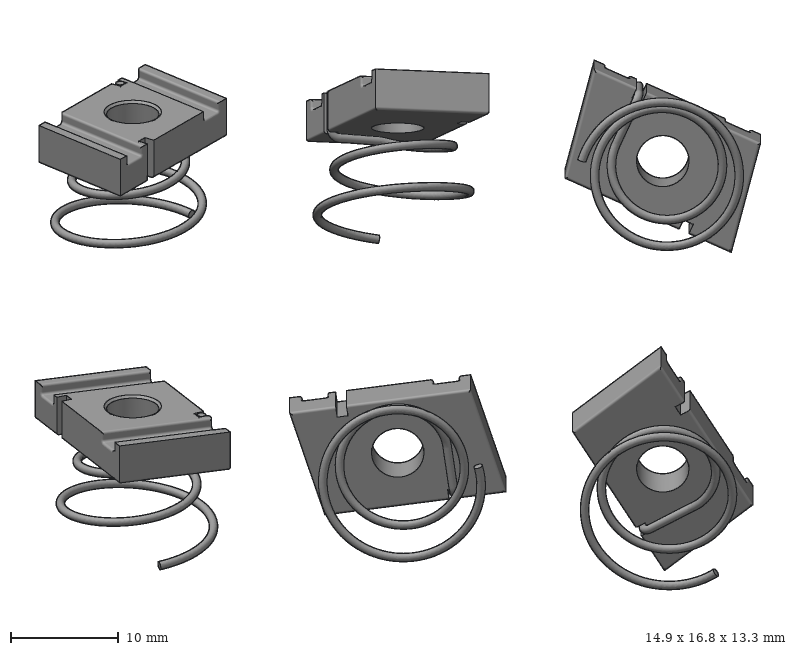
import cadquery as cq
import math

nut_length = 16.76
nut_width = 10.8
nut_height = 3.85
skew_angle = 10.0
bottom_edge_radius = 0.25

bore_radius = 2.43
bore_chamfer = 0.23

groove_center_y = 6.07
groove_width = 2.35
groove_depth = 1.02
groove_floor_radius = 0.25
groove_rim_radius = 0.23

notch_size = 1.0
notch_offset = 4.6
leg_depth = 0.54

wire_radius = 0.4
bend_radius = 0.84
coil_start_radius = 4.66
coil_growth = 1.56
coil_end_z = -12.92
coil_start_angle = 90.0 + skew_angle
coil_end_angle = 91.0
full_turns = 2
points_per_turn = 24

skew = math.radians(skew_angle)
side_distance = nut_width / 2 * math.cos(skew)
coil_start_z = -nut_height - wire_radius
leg_u = leg_depth - side_distance


def skewed_point(u, v, z):
    """Point from coordinates square to (u) and along (v) the skewed sides."""
    x = u * math.cos(skew) - v * math.sin(skew)
    y = u * math.sin(skew) + v * math.cos(skew)
    return cq.Vector(x, y, z)


def sheared_plate():
    half_length = nut_length / 2
    half_width = nut_width / 2
    shift = half_length * math.tan(skew)
    plate = (
        cq.Workplane("XY", origin=(0, 0, -nut_height))
        .polyline([
            (-half_width + shift, -half_length),
            (half_width + shift, -half_length),
            (half_width - shift, half_length),
            (-half_width - shift, half_length),
        ])
        .close()
        .extrude(nut_height)
    )
    return plate.faces("<Z").edges().fillet(bottom_edge_radius)


def groove_tool(center_y):
    tool = cq.Workplane("XY").box(2 * nut_width, groove_width, 2 * groove_depth)
    tool = tool.edges("|X and <Z").fillet(groove_floor_radius)
    return tool.translate((0, center_y, 0))


def round_groove_rim(nut, center_y):
    """Round the whole rim: both top edges and the profile on each skewed side."""
    margin = 0.03
    selector = cq.selectors.BoxSelector(
        (-nut_width, center_y - groove_width / 2 - margin, -groove_depth - margin),
        (nut_width, center_y + groove_width / 2 + margin, margin),
    )
    side_rims = nut.faces("<(1,{0},0) or >(1,{0},0)".format(math.tan(skew))).edges(selector)
    top_rims = nut.faces(">Z").edges(selector)
    return nut.newObject(side_rims.vals() + top_rims.vals()).fillet(groove_rim_radius)


def notch_tool(side):
    """Notch on the -X side (side = -1) or, turned half way round, on the +X side (+1)."""
    center = skewed_point(side * side_distance, -side * notch_offset, -nut_height / 2)
    tool = cq.Workplane("XY").box(2 * notch_size, notch_size, 2 * nut_height)
    return tool.rotate((0, 0, 0), (0, 0, 1), skew_angle).translate(center)


def bore_tool():
    bore = cq.Workplane("XY").circle(bore_radius).extrude(-nut_height)
    mouth_radius = bore_radius + bore_chamfer
    mouth = cq.Solid.makeCone(
        mouth_radius, bore_radius, bore_chamfer, cq.Vector(0, 0, 0), cq.Vector(0, 0, -1)
    )
    return bore.union(cq.Workplane(mouth))


def make_nut():
    nut = sheared_plate()
    for center_y in (-groove_center_y, groove_center_y):
        nut = nut.cut(groove_tool(center_y))
        nut = round_groove_rim(nut, center_y)
    for side in (-1, 1):
        nut = nut.cut(notch_tool(side))
    return nut.cut(bore_tool())


def coil_edge():
    """Conical spiral leaving the run without a kink, running clockwise and downwards while it widens."""
    sweep_angle = 360.0 * full_turns + coil_start_angle - coil_end_angle
    steps = full_turns * points_per_turn
    points = []
    for step in range(steps + 1):
        fraction = step / steps
        angle = math.radians(coil_start_angle - sweep_angle * fraction)
        radius = coil_start_radius + coil_growth * sweep_angle / 360.0 * fraction
        z = coil_start_z + (coil_end_z - coil_start_z) * fraction
        points.append(cq.Vector(radius * math.cos(angle), radius * math.sin(angle), z))
    start_tangent = skewed_point(1, 0, 0)
    tangents = [start_tangent] + [None] * steps
    return cq.Edge.makeSpline(points, tangents=tangents)


def make_spring():
    """Upright leg, bend, straight run under the nut, then the coil."""
    v = coil_start_radius
    bend_center_u = leg_u + bend_radius
    bend_center_z = coil_start_z + bend_radius
    bend_reach = bend_radius * math.sqrt(0.5)
    leg_top = skewed_point(leg_u, v, 0)
    bend_start = skewed_point(leg_u, v, bend_center_z)
    bend_middle = skewed_point(bend_center_u - bend_reach, v, bend_center_z - bend_reach)
    bend_end = skewed_point(bend_center_u, v, coil_start_z)
    run_end = skewed_point(0, v, coil_start_z)
    path = cq.Wire.assembleEdges([
        cq.Edge.makeLine(leg_top, bend_start),
        cq.Edge.makeThreePointArc(bend_start, bend_middle, bend_end),
        cq.Edge.makeLine(bend_end, run_end),
        coil_edge(),
    ])
    section = cq.Workplane("XY", origin=leg_top.toTuple()).circle(wire_radius)
    return section.sweep(cq.Workplane(path), isFrenet=False)


spring = make_spring()
nut = cq.Workplane(make_nut().cut(spring).solids().val())

result = cq.Compound.makeCompound([nut.val(), spring.val()])